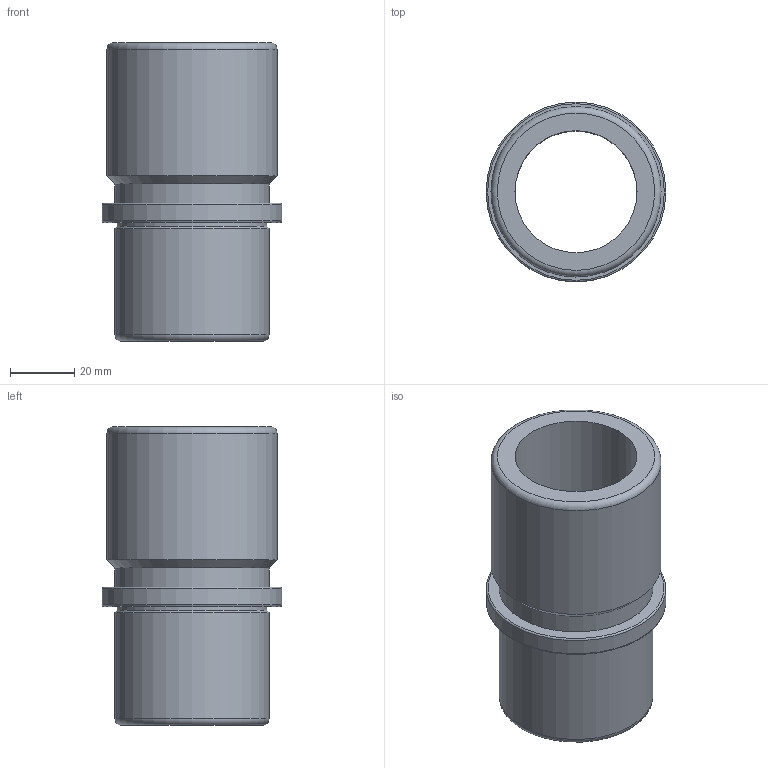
import cadquery as cq

total_height = 93.0
bore_radius = 19.0

sleeve_radius = 26.5
end_round = 2.0

spigot_radius = 24.0

collar_radius = 28.0
collar_bottom = 37.0
collar_thickness = 6.0
collar_round = 0.5

groove_radius = 23.3
groove_width = 1.9

neck_length = 6.0

collar_top = collar_bottom + collar_thickness
groove_taper_height = spigot_radius - groove_radius
groove_taper_top = collar_bottom - groove_width + groove_taper_height
sleeve_taper_bottom = collar_top + neck_length
sleeve_taper_height = sleeve_radius - spigot_radius


def cylinder(radius, bottom, top):
    """Upright cylinder on the Z axis between two heights."""
    return cq.Workplane("XY").workplane(offset=bottom).circle(radius).extrude(top - bottom)


def make_core():
    """Full-height core at the groove radius that joins all the sections."""
    return cylinder(groove_radius, end_round, total_height - end_round)


def make_spigot():
    """Lower spigot, rounded at its free end and tapered into the groove at its top."""
    spigot = cylinder(spigot_radius, 0, groove_taper_top)
    spigot = spigot.faces("<Z").edges().fillet(end_round)
    return spigot.faces(">Z").edges().chamfer(groove_taper_height)


def make_collar():
    """Collar with both rims lightly rounded."""
    collar = cylinder(collar_radius, collar_bottom, collar_top)
    return collar.faces("<Z or >Z").edges().fillet(collar_round)


def make_neck():
    """Plain neck between the collar and the sleeve."""
    return cylinder(spigot_radius, collar_top, sleeve_taper_bottom)


def make_sleeve():
    """Upper sleeve, rounded at its free end and tapered down to the neck."""
    sleeve = cylinder(sleeve_radius, sleeve_taper_bottom, total_height)
    sleeve = sleeve.faces("<Z").edges().chamfer(sleeve_taper_height)
    return sleeve.faces(">Z").edges().fillet(end_round)


body = make_core()
for section in (make_spigot(), make_collar(), make_neck(), make_sleeve()):
    body = body.union(section)

result = body.cut(cylinder(bore_radius, 0, total_height))